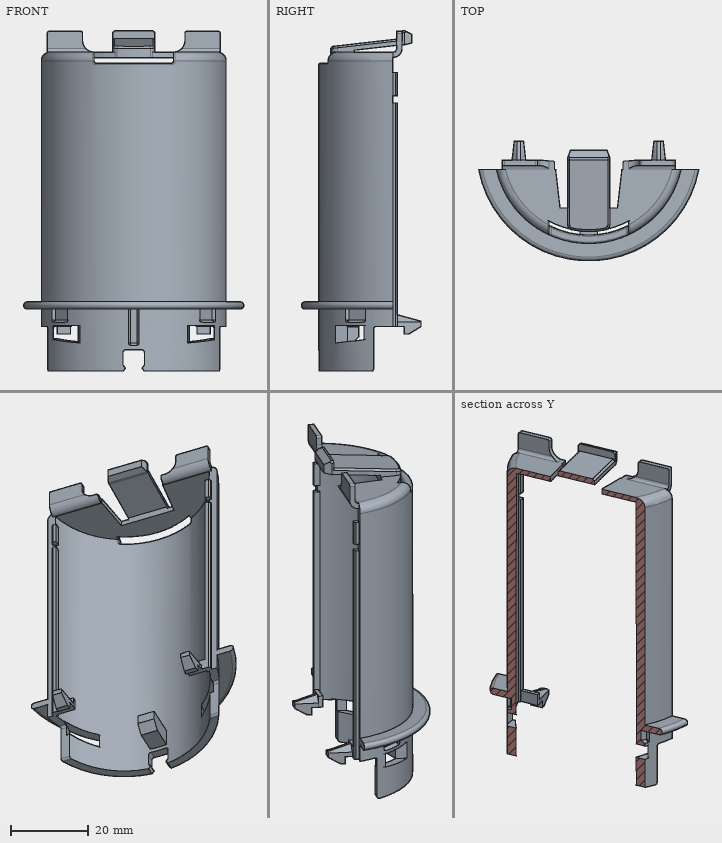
import cadquery as cq
import math

rear_y = -5.3
outer_r = 24.6
wall = 2.2
inner_r = outer_r - wall
lid_z = 82.8
lid_thick = 1.5
rim_fillet = 2.3

skirt_top_z = 11.6
skirt_rear_y = -10.25
skirt_corner_r = 0.6

flange_r = 29.1
flange_bottom_z = 16.1
flange_thick = 1.9

slot_half_width = 10.25
slot_inner_r = 21.4
slot_bottom_z = 79.9
slot_corner_r = 0.5
slot_edge_r = 0.35

gap_rear_half_width = 8.6
gap_front_half_width = 7.4
gap_front_y = -15.3

ear_inner_x = 13.25
ear_outer_x = 22.4
ear_root_x = 8.8
ear_top_z = 88.2
ear_thick = 1.4
ear_rear_y = -2.9
ear_bend_r = 0.9
ear_scoop_r = 3.0
ear_corner_r = 0.5
ear_root_r = 0.9

tongue_half_width = 5.5
tongue_thick = 1.7
tongue_front_r = 21.5
tongue_front_z = 84.2
tongue_rear_z = 86.3
tongue_chamfer = 0.5
tongue_corner_r = 1.4
head_top_z = 88.35
head_front_y = -2.8
head_rear_y = -2.3
head_bottom_z = 84.6
head_corner = 0.5
nose_y = -0.35
nose_half_width = 4.8
nose_bottom_z = 85.1
nose_top_z = 87.4

rail_inner_x = 21.0
rail_outer_x = 22.4
rail_rear_y = -4.15
rail_chamfer = 0.4
embed = 0.4
rail_spans = [(skirt_top_z, 69.6), (71.4, 77.5)]

hook_inner_x = 16.2
hook_outer_x = 20.05
hook_tip_y = 2.0
hook_tip_inset = 0.7
hook_ridge_half_width = 0.4
hook_root_z = 14.7
hook_tip_z = 13.0
hook_eave_z = 12.8
barb_rear_y = -1.15
barb_front_y = -2.4
barb_z = 9.6

window_top_z = 11.8
window_y = (-7.95, -23.85)
window_sill_rear_z = 8.75
window_sill_front_z = 6.9
window_outer_x = (-21.7, -13.3)
window_inner_x = (-20.6, -15.9)

pocket_depth = 1.1
pocket_draft = 30
front_pocket_width = 2.8
front_pocket_bottom_z = 6.7
side_pocket_width = 6.8
side_pocket_bottom_z = 12.6
side_pocket_angle = 52

notch_half_width = 2.7
notch_throat = 2.1
notch_bump_z = 0.8
notch_height = 5.6
notch_corner_r = 0.7

rib_half_width = 2.3
rib_rear_y = -14.1
rib_knee_z = 8.9


def block(x0, x1, y0, y1, z0, z1):
    return cq.Workplane("XY").box(x1 - x0, y1 - y0, z1 - z0, centered=False).translate((x0, y0, z0))


def cylinder(radius, z0, z1):
    return cq.Workplane("XY").workplane(offset=z0).circle(radius).extrude(z1 - z0)


def side_prism(points, x0, x1):
    """Extrude a (y, z) outline from x0 to x1."""
    return cq.Workplane("YZ").workplane(offset=x0).polyline(points).close().extrude(x1 - x0)


def both_sides(solid):
    return solid.union(solid.mirror("YZ"))


def rear_trim(solid):
    """Keep only what lies in front of the flat rear cut."""
    return solid.intersect(block(-flange_r, flange_r, -flange_r, rear_y, 0, head_top_z))


def make_shell():
    """Half tube with a lid, a stepped-back skirt and a slot through the rounded rim."""
    shell = cylinder(outer_r, 0, lid_z).faces(">Z").edges().fillet(rim_fillet)
    shell = shell.cut(cylinder(inner_r, 0, lid_z - lid_thick))
    shell = rear_trim(shell)
    step = block(-outer_r, outer_r, skirt_rear_y, 0, -skirt_top_z, skirt_top_z)
    step = step.edges("|X and <Y and >Z").fillet(skirt_corner_r)
    shell = shell.cut(step).edges("|X and <Z").fillet(skirt_corner_r)
    shell = shell.cut(make_rim_slot())
    slot_edge_box = (
        (-slot_half_width - slot_edge_r, -flange_r, slot_bottom_z - slot_edge_r),
        (slot_half_width + slot_edge_r, -slot_inner_r, lid_z),
    )
    return shell.edges(cq.selectors.BoxSelector(*slot_edge_box)).fillet(slot_edge_r)


def make_flange():
    """Ring with a fully rounded outer edge."""
    edge_r = flange_thick / 2
    top_z = flange_bottom_z + flange_thick
    ring = (
        cq.Workplane("XZ")
        .moveTo(inner_r, flange_bottom_z).lineTo(flange_r - edge_r, flange_bottom_z)
        .threePointArc((flange_r, flange_bottom_z + edge_r), (flange_r - edge_r, top_z))
        .lineTo(inner_r, top_z).close()
        .revolve(360, (0, 0), (0, 1))
    )
    return rear_trim(ring)


def make_rim_slot():
    slot = block(-slot_half_width, slot_half_width, -flange_r, 0, slot_bottom_z, head_top_z)
    slot = slot.edges("|Y and <Z").fillet(slot_corner_r)
    return slot.cut(cylinder(slot_inner_r, 0, head_top_z))


def make_lid_gap():
    return (
        cq.Workplane("XY").workplane(offset=lid_z - 2 * lid_thick)
        .polyline([
            (-gap_rear_half_width, rear_y),
            (-gap_front_half_width, gap_front_y),
            (gap_front_half_width, gap_front_y),
            (gap_rear_half_width, rear_y),
        ]).close().extrude(3 * lid_thick)
    )


def make_window():
    """Window with side walls that narrow inwards and a sill that falls towards the front."""
    rear, front = window_y
    outer_rear, outer_front = window_outer_x
    inner_rear, inner_front = window_inner_x
    plan = (
        cq.Workplane("XY")
        .polyline([(outer_rear, front), (outer_front, front), (inner_front, rear), (inner_rear, rear)])
        .close().extrude(window_top_z)
    )
    opening = side_prism(
        [
            (rear, window_sill_rear_z),
            (front, window_sill_front_z),
            (front, window_top_z),
            (rear, window_top_z),
        ],
        -outer_r, 0,
    )
    return plan.intersect(opening)


def make_pocket(width, bottom_z, angle):
    """Pocket with sloping walls, sunk from the outer surface at an angle from the front."""
    inset = 2 * pocket_depth * math.tan(math.radians(pocket_draft))
    top_z = flange_bottom_z + flange_thick
    height = top_z - bottom_z
    floor_center = (0, pocket_depth - outer_r, (top_z + bottom_z) / 2)
    floor = cq.Plane(origin=floor_center, xDir=(1, 0, 0), normal=(0, -1, 0))
    cutter = cq.Workplane(floor).rect(width - inset, height - inset)
    cutter = cutter.extrude(2 * pocket_depth, taper=-pocket_draft)
    return cutter.rotate((0, 0, 0), (0, 0, 1), angle)


def make_notch():
    """Notch with a small snap bump at the foot of each side."""
    half = [
        (notch_half_width, 0),
        (notch_throat, notch_bump_z),
        (notch_half_width, 2 * notch_bump_z),
        (notch_half_width, notch_height),
    ]
    outline = half + [(-x, z) for x, z in reversed(half)]
    notch = cq.Workplane("XZ").polyline(outline).close().extrude(flange_r)
    return notch.edges("|Y and >Z").fillet(notch_corner_r)


def make_ear():
    """Upright ear that bends up out of the lid, with a scooped inner side."""
    front_y = ear_rear_y - ear_thick
    bend_y = front_y - ear_bend_r
    bend_z = lid_z + ear_bend_r
    outer_bend = ear_bend_r + ear_thick
    diag = math.sqrt(0.5)
    strip = (
        cq.Workplane("YZ").workplane(offset=ear_root_x)
        .moveTo(rear_y, lid_z).lineTo(bend_y, lid_z)
        .threePointArc((bend_y + ear_bend_r * diag, bend_z - ear_bend_r * diag), (front_y, bend_z))
        .lineTo(front_y, ear_top_z).lineTo(ear_rear_y, ear_top_z).lineTo(ear_rear_y, bend_z)
        .threePointArc(
            (bend_y + outer_bend * diag, bend_z - outer_bend * diag),
            (bend_y, bend_z - outer_bend),
        )
        .lineTo(rear_y, bend_z - outer_bend).close()
        .extrude(ear_outer_x - ear_root_x)
    )
    scoop_x = ear_inner_x - ear_scoop_r
    scoop_z = lid_z + ear_scoop_r
    scoop = (
        cq.Workplane("XZ").moveTo(0, lid_z).lineTo(scoop_x, lid_z)
        .threePointArc((scoop_x + ear_scoop_r * diag, scoop_z - ear_scoop_r * diag), (ear_inner_x, scoop_z))
        .lineTo(ear_inner_x, head_top_z).lineTo(0, head_top_z).close()
        .extrude(-rear_y, both=True)
    )
    ear = strip.cut(scoop).faces(">Z").edges("|Y").fillet(ear_corner_r)
    envelope = block(ear_root_x, ear_outer_x, rear_y, ear_rear_y, 0, head_top_z)
    return ear.intersect(envelope.edges("|Z and <X and >Y").fillet(ear_root_r))


def make_tongue():
    rise = (tongue_rear_z - tongue_front_z) / (tongue_front_r + head_front_y)
    foot_z = tongue_front_z - tongue_thick + rise * (gap_front_y + tongue_front_r)
    tongue = side_prism(
        [
            (-tongue_front_r, tongue_front_z),
            (head_front_y, tongue_rear_z),
            (head_front_y, tongue_rear_z - tongue_thick),
            (gap_front_y, foot_z),
            (gap_front_y, lid_z - lid_thick),
            (-tongue_front_r, lid_z - lid_thick),
        ],
        -tongue_half_width, tongue_half_width,
    )
    tongue = tongue.intersect(cylinder(tongue_front_r, 0, head_top_z))
    tongue = tongue.edges("|Z").edges("<Y").fillet(tongue_corner_r)
    top_face = tongue.faces(cq.selectors.NearestToPointSelector((0, gap_front_y, head_top_z)))
    return top_face.edges("not(|X)").chamfer(tongue_chamfer)


def make_head():
    """Cross bar at the rear end of the tongue, with a nose that narrows to the rear."""
    height = head_top_z - head_bottom_z
    bar = block(-tongue_half_width, tongue_half_width, head_front_y, head_rear_y, head_bottom_z, head_top_z)
    base = cq.Plane(origin=(0, head_rear_y, head_bottom_z + height / 2), xDir=(-1, 0, 0), normal=(0, 1, 0))
    nose_shift = (nose_bottom_z + nose_top_z - head_bottom_z - head_top_z) / 2
    nose = (
        cq.Workplane(base)
        .rect(2 * tongue_half_width, height)
        .workplane(offset=nose_y - head_rear_y).center(0, nose_shift)
        .rect(2 * nose_half_width, nose_top_z - nose_bottom_z)
        .loft(ruled=True)
    )
    envelope = block(-tongue_half_width, tongue_half_width, head_front_y, nose_y, head_bottom_z, head_top_z)
    envelope = envelope.edges("|Y and >Z").chamfer(head_corner)
    return bar.union(nose).intersect(envelope)


def make_rail(z0, z1):
    rail = block(rail_inner_x, rail_outer_x, rear_y - embed, rail_rear_y, z0, z1)
    return rail.edges("|Z and >X and >Y").chamfer(rail_chamfer)


def hook_section(half_width, ridge_z):
    """Cross-section of a hook: upright sides and a roof with a narrow flat ridge."""
    half = [(half_width, 0), (half_width, hook_eave_z), (hook_ridge_half_width, ridge_z)]
    return half + [(-x, z) for x, z in reversed(half)]


def make_hook():
    root_half_width = (hook_outer_x - hook_inner_x) / 2
    middle_x = hook_inner_x + root_half_width
    root = cq.Plane(origin=(middle_x, rail_rear_y, 0), xDir=(-1, 0, 0), normal=(0, 1, 0))
    roof = (
        cq.Workplane(root)
        .polyline(hook_section(root_half_width, hook_root_z)).close()
        .workplane(offset=hook_tip_y - rail_rear_y)
        .polyline(hook_section(root_half_width - hook_tip_inset, hook_tip_z)).close()
        .loft(ruled=True)
    )
    barb = side_prism(
        [
            (rail_rear_y, hook_root_z),
            (hook_tip_y, hook_root_z),
            (hook_tip_y, skirt_top_z),
            (barb_rear_y, barb_z),
            (barb_front_y, barb_z),
            (barb_front_y, skirt_top_z),
            (rail_rear_y, skirt_top_z),
        ],
        hook_inner_x, hook_outer_x,
    )
    pad = block(hook_inner_x, rail_outer_x - rail_chamfer, rear_y, rail_rear_y, skirt_top_z, hook_root_z)
    return roof.intersect(barb).union(pad)


def make_rib():
    knee_run = rib_knee_z - front_pocket_bottom_z
    front_y = -inner_r - embed
    return side_prism(
        [
            (rib_rear_y, skirt_top_z),
            (rib_rear_y, rib_knee_z),
            (rib_rear_y - knee_run, front_pocket_bottom_z),
            (front_y, front_pocket_bottom_z),
            (front_y, skirt_top_z),
        ],
        -rib_half_width, rib_half_width,
    )


result = make_shell().cut(make_lid_gap())
result = result.cut(make_notch()).cut(both_sides(make_window()))
result = result.cut(make_pocket(front_pocket_width, front_pocket_bottom_z, 0))
for side_angle in (-side_pocket_angle, side_pocket_angle):
    result = result.cut(make_pocket(side_pocket_width, side_pocket_bottom_z, side_angle))
result = result.union(make_flange()).union(make_rib())
result = result.union(make_tongue()).union(make_head())
result = result.union(both_sides(make_ear())).union(both_sides(make_hook()))
for rail_bottom, rail_top in rail_spans:
    result = result.union(both_sides(make_rail(rail_bottom, rail_top)))